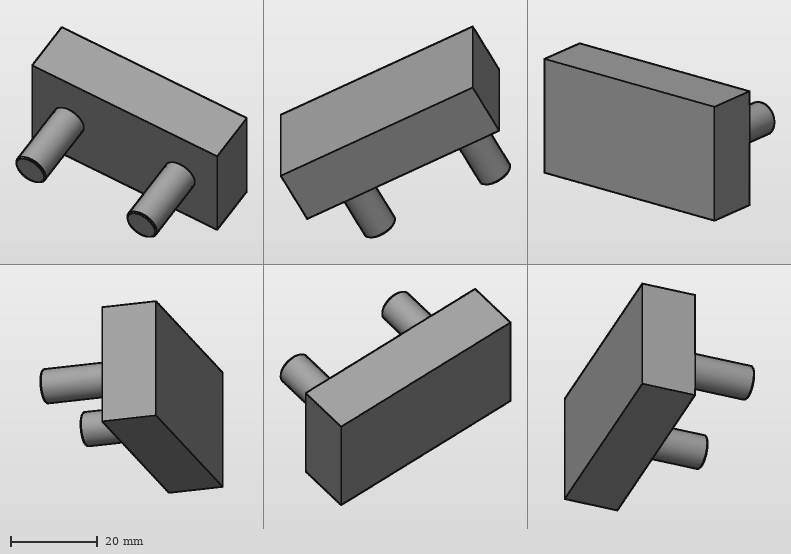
import cadquery as cq

block_length = 50.0
block_depth = 13.0
block_height = 28.0

pin_diameter = 8.0
pin_length = 17.0
pin_spacing = 30.0
pin_chamfer = 0.3

front_face_y = -block_depth / 2


def make_block():
    """Plain rectangular block centred on the origin."""
    return cq.Workplane("XY").box(block_length, block_depth, block_height)


def make_pin(x):
    """Round pin seated on the front face, with its free end chamfered."""
    return (
        cq.Workplane("XZ", origin=(x, front_face_y, 0))
        .circle(pin_diameter / 2)
        .extrude(pin_length)
        .faces("<Y")
        .chamfer(pin_chamfer)
    )


block = make_block()
pins = [make_pin(side * pin_spacing / 2) for side in (-1, 1)]

result = cq.Compound.makeCompound([block.val(), *[pin.val() for pin in pins]])